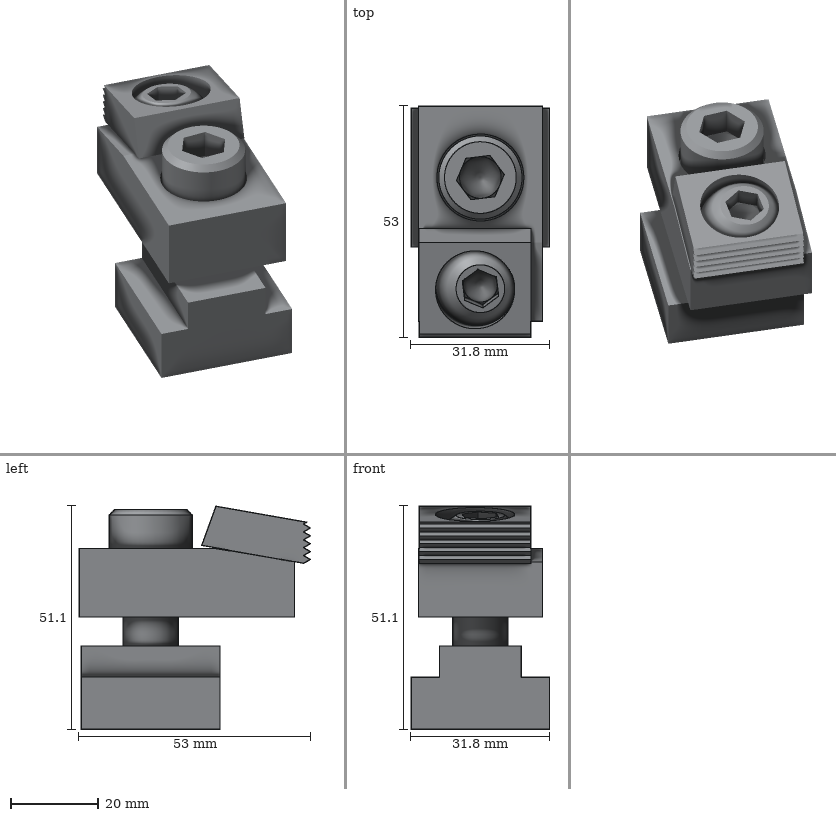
import cadquery as cq
import math


nut_width = 31.75
nut_length = 31.85
nut_base_height = 11.95
nut_neck_width = 18.8
nut_height = 19.1

block_width = 28.45
block_back = 16.35
block_front = -32.95
block_bottom = 25.7
block_top = 41.4
block_slope_start = -14.95

cap_head_radius = 9.55
cap_head_height = 12.7
cap_head_chamfer = 1.3
cap_top = 50.4
cap_shank_radius = 6.35
cap_counterbore_radius = 9.95
cap_socket_corner_radius = 5.5
cap_socket_depth = 6.45
cap_socket_turn = 7.0
cap_seat = cap_top - cap_head_height

tilt = 10.0
jaw_width = 25.6
jaw_center_x = -1.2
jaw_thickness = 9.45
jaw_back_lean = 2 * tilt
jaw_back_y = -11.65
jaw_back_bottom = 42.1
tooth_tip_y = block_back - 52.95
tooth_depth = 1.6
tooth_pitch = 1.8
tooth_count = 6
jaw_bore_radius = 9.05
jaw_bore_offset = -12.6

button_offset = -12.4
button_head_radius = 10.5
button_head_height = 6.6
button_flat_radius = 5.55
button_sink = 0.25
button_shank_radius = 6.0
button_shank_reach = 10.6
button_socket_corner_radius = 4.5
button_socket_depth = 4.5
button_socket_turn = 37.0
button_top = jaw_thickness - button_sink
button_seat = button_top - button_head_height

socket_cone_half_angle = 60.0

tilt_sin = math.sin(math.radians(tilt))
tilt_cos = math.cos(math.radians(tilt))
slope = math.tan(math.radians(tilt))

jaw_plane = cq.Plane(
    origin=(0, jaw_back_y, jaw_back_bottom),
    xDir=(1, 0, 0),
    normal=(0, -tilt_sin, tilt_cos),
)


def seat_height(y):
    """Height of the sloped underside of the jaw."""
    return jaw_back_bottom + (y - jaw_back_y) * slope


def plane_at(plane, y, height):
    """Workplane raised above a plane, with its origin moved along the plane's Y."""
    return cq.Workplane(plane).workplane(offset=height).center(0, y)


def cylinder(plane, y, bottom, top, radius):
    """Cylinder square to a plane, between two heights above it."""
    return plane_at(plane, y, bottom).circle(radius).extrude(top - bottom)


def hex_socket(plane, y, top, corner_radius, depth, turn):
    """Hexagonal socket ending in a drilled cone inscribed in the hexagon."""
    hexagon = (
        plane_at(plane, y, top)
        .transformed(rotate=(0, 0, turn))
        .polygon(6, 2 * corner_radius)
        .extrude(-depth)
    )
    cone_radius = corner_radius * math.cos(math.pi / 6)
    cone_depth = cone_radius / math.tan(math.radians(socket_cone_half_angle))
    cone = cq.Solid.makeCone(
        cone_radius,
        0,
        cone_depth,
        pnt=plane.toWorldCoords((0, y, top - depth)),
        dir=-plane.zDir,
    )
    return hexagon.union(cq.Workplane(cone))


def make_cap_screw():
    head = cylinder(cq.Plane.XY(), 0, cap_seat, cap_top, cap_head_radius)
    head = head.faces(">Z").chamfer(cap_head_chamfer)
    shank = cylinder(cq.Plane.XY(), 0, 0, cap_seat, cap_shank_radius)
    socket = hex_socket(
        cq.Plane.XY(), 0, cap_top, cap_socket_corner_radius, cap_socket_depth, cap_socket_turn
    )
    return head.union(shank).cut(socket)


def make_button_screw():
    center_drop = (
        button_head_radius**2 + button_head_height**2 - button_flat_radius**2
    ) / (2 * button_head_height)
    dome_radius = math.hypot(button_flat_radius, center_drop)
    dome_center = button_top - center_drop
    mid_height = (button_seat + button_top) / 2
    mid_radius = math.sqrt(dome_radius**2 - (mid_height - dome_center) ** 2)

    section_plane = cq.Plane(
        origin=jaw_plane.toWorldCoords((0, button_offset, 0)),
        xDir=jaw_plane.xDir,
        normal=-jaw_plane.yDir,
    )
    screw = (
        cq.Workplane(section_plane)
        .moveTo(0, -button_shank_reach)
        .lineTo(button_shank_radius, -button_shank_reach)
        .lineTo(button_shank_radius, button_seat)
        .lineTo(button_head_radius, button_seat)
        .threePointArc((mid_radius, mid_height), (button_flat_radius, button_top))
        .lineTo(0, button_top)
        .close()
        .revolve(360, (0, 0), (0, 1))
    )
    socket = hex_socket(
        jaw_plane,
        button_offset,
        button_top,
        button_socket_corner_radius,
        button_socket_depth,
        button_socket_turn,
    )
    return screw.cut(socket)


def make_nut(cap_screw):
    base = cq.Workplane().box(nut_width, nut_length, nut_base_height, centered=(True, True, False))
    neck = cq.Workplane().box(nut_neck_width, nut_length, nut_height, centered=(True, True, False))
    return base.union(neck).cut(cap_screw)


def make_block(cap_screw, button_screw):
    block = (
        cq.Workplane("YZ")
        .polyline([
            (block_back, block_bottom),
            (block_back, block_top),
            (block_slope_start, block_top),
            (block_front, seat_height(block_front)),
            (block_front, block_bottom),
        ])
        .close()
        .extrude(block_width / 2, both=True)
    )
    counterbore = cylinder(cq.Plane.XY(), 0, cap_seat, block_top, cap_counterbore_radius)
    return block.cut(counterbore).cut(cap_screw).cut(button_screw)


def make_jaw(button_screw):
    back_length = jaw_thickness / math.cos(math.radians(jaw_back_lean - tilt))
    back_top_y = jaw_back_y - back_length * math.sin(math.radians(jaw_back_lean))
    back_top = jaw_back_bottom + back_length * math.cos(math.radians(jaw_back_lean))
    jaw_start_x = jaw_center_x - jaw_width / 2
    blank = (
        cq.Workplane("YZ", origin=(jaw_start_x, 0, 0))
        .polyline([
            (jaw_back_y, jaw_back_bottom),
            (back_top_y, back_top),
            (tooth_tip_y, back_top + (tooth_tip_y - back_top_y) * slope),
            (tooth_tip_y, seat_height(tooth_tip_y)),
        ])
        .close()
        .extrude(jaw_width)
    )

    valley_y = tooth_tip_y + tooth_depth
    for index in range(tooth_count):
        valley = seat_height(valley_y) + index * tooth_pitch
        groove = (
            cq.Workplane("YZ", origin=(jaw_start_x, 0, 0))
            .polyline([
                (valley_y, valley),
                (tooth_tip_y, valley + tooth_pitch / 2),
                (tooth_tip_y, valley - tooth_pitch / 2),
            ])
            .close()
            .extrude(jaw_width)
        )
        blank = blank.cut(groove)

    bore = (
        plane_at(jaw_plane, jaw_bore_offset, button_seat)
        .center(jaw_center_x, 0)
        .circle(jaw_bore_radius)
        .extrude(jaw_thickness - button_seat)
    )
    shank_hole = cylinder(jaw_plane, button_offset, 0, jaw_thickness, button_shank_radius)
    return blank.cut(bore).cut(shank_hole).cut(button_screw)


cap_screw = make_cap_screw()
button_screw = make_button_screw()
nut = make_nut(cap_screw)
block = make_block(cap_screw, button_screw)
jaw = make_jaw(button_screw)

result = cq.Compound.makeCompound([
    nut.solids().val(),
    block.solids().val(),
    cap_screw.solids().val(),
    jaw.solids().val(),
    button_screw.solids().val(),
])